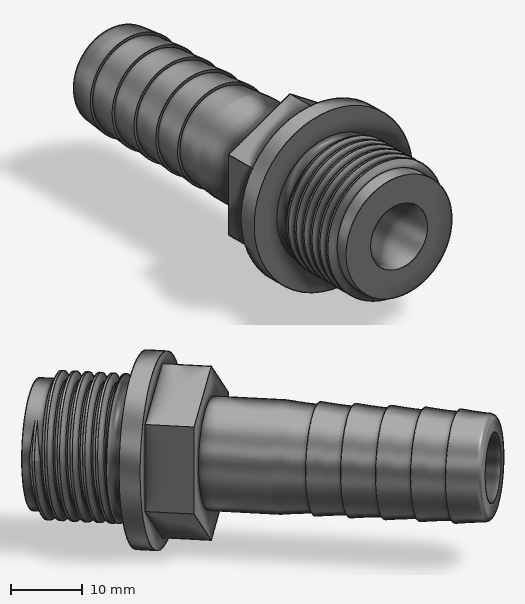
import cadquery as cq
import math


bore_diameter = 10.0
tail_length = 40.3
hex_length = 7.0
flange_length = 3.0
spigot_length = 15.0

tail_radius = 8.0
barb_root_radius = 7.6
barb_count = 6
barb_pitch = 5.0
barb_land = 0.35
tip_fillet = 0.9

hex_sides = 6
hex_across_flats = 21.6
flange_radius = 13.95

thread_pitch = 25.4 / 14
thread_major_radius = 20.955 / 2
thread_minor_radius = 18.631 / 2
thread_flank_angle = 27.5
thread_crest_width = 0.35
thread_embed = 0.1
thread_turns = 6
thread_start_offset = 2.2
runout_angle = 34.0
runout_steps = 4

groove_radius = 1.35
groove_center_offset = 1.25
collar_length = 2.65

hex_start = tail_length
flange_start = hex_start + hex_length
spigot_start = flange_start + flange_length
total_length = spigot_start + spigot_length
thread_start = spigot_start + thread_start_offset


def cylinder(start, length, radius):
    """Solid cylinder on the X axis."""
    return cq.Workplane("YZ", origin=(start, 0, 0)).circle(radius).extrude(length)


def barbed_tail():
    """Revolved tail whose barbs widen away from the tip and step down after each crest."""
    profile = (
        cq.Workplane("XY")
        .lineTo(0, barb_root_radius - tip_fillet)
        .radiusArc((tip_fillet, barb_root_radius), tip_fillet)
    )
    for barb in range(1, barb_count):
        crest = barb * barb_pitch
        profile = profile.lineTo(crest, tail_radius)
        profile = profile.lineTo(crest, barb_root_radius)
        profile = profile.lineTo(crest + barb_land, barb_root_radius)
    profile = (
        profile.lineTo(barb_count * barb_pitch, tail_radius)
        .lineTo(tail_length, tail_radius)
        .lineTo(tail_length, 0)
        .close()
    )
    return profile.revolve(360, (0, 0, 0), (1, 0, 0))


def hexagon():
    """Spanner hexagon with corners on the Z axis."""
    corner_angle = math.radians(180 / hex_sides)
    corner_diameter = hex_across_flats / math.cos(corner_angle)
    return (
        cq.Workplane("YZ", origin=(hex_start, 0, 0))
        .transformed(rotate=(0, 0, 90))
        .polygon(hex_sides, corner_diameter)
        .extrude(hex_length)
    )


def ridge_section(angle, sink):
    """Thread section after turning by angle (degrees) from +Y, lowered by sink."""
    station = thread_start + thread_pitch * angle / 360
    root_radius = thread_minor_radius - thread_embed
    half_crest = thread_crest_width / 2
    ridge_height = thread_major_radius - root_radius
    half_root = half_crest + ridge_height * math.tan(math.radians(thread_flank_angle))
    corners = [
        (-half_root, root_radius - sink),
        (-half_crest, thread_major_radius - sink),
        (half_crest, thread_major_radius - sink),
        (half_root, root_radius - sink),
    ]
    section = cq.Workplane("XY", origin=(station, 0, 0)).polyline(corners).close()
    return section.val().rotate(cq.Vector(0, 0, 0), cq.Vector(1, 0, 0), angle)


def thread_ridge():
    """Right-hand helical ridge, starting and ending at +Y."""
    helix = cq.Wire.makeHelix(
        thread_pitch,
        thread_turns * thread_pitch,
        thread_minor_radius,
        cq.Vector(thread_start, 0, 0),
        cq.Vector(1, 0, 0),
    )
    start_angle = math.degrees(math.atan2(helix.startPoint().z, helix.startPoint().y))
    helix = helix.rotate(cq.Vector(0, 0, 0), cq.Vector(1, 0, 0), -start_angle)
    ridge = cq.Solid.sweep(ridge_section(0, 0), [], helix, isFrenet=True)
    return cq.Workplane(ridge)


def thread_runout():
    """Tail of the ridge that sinks below the thread root."""
    ridge_height = thread_major_radius - thread_minor_radius
    end_angle = thread_turns * 360
    sections = []
    for step in range(runout_steps + 1):
        share = step / runout_steps
        sections.append(ridge_section(end_angle + share * runout_angle, share * ridge_height))
    return cq.Workplane(cq.Solid.makeLoft(sections))


def relief_groove():
    """Ring of round section centred at the thread's major radius, stopping at the flange."""
    ring = (
        cq.Workplane("XY")
        .center(spigot_start + groove_center_offset, thread_major_radius)
        .circle(groove_radius)
        .revolve(360, (-1, -thread_major_radius, 0), (1, -thread_major_radius, 0))
    )
    return ring.intersect(cylinder(spigot_start, spigot_length, flange_radius))


def threaded_spigot():
    """Root cylinder, collar and thread, with the relief groove cut behind the thread."""
    core = cylinder(spigot_start, spigot_length, thread_minor_radius)
    collar = cylinder(spigot_start, collar_length, thread_major_radius)
    spigot = core.union(thread_ridge()).union(thread_runout()).union(collar)
    return spigot.cut(relief_groove())


flange = cylinder(flange_start, flange_length, flange_radius)
bore = cylinder(0, total_length, bore_diameter / 2)
result = barbed_tail().union(hexagon()).union(flange).union(threaded_spigot()).cut(bore)